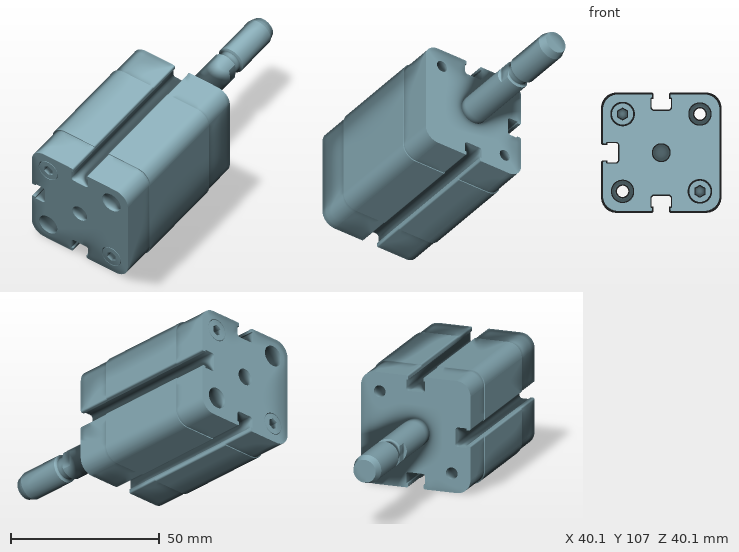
import cadquery as cq
import math


tube_width = 40.1
cap_width = 39.5
corner_radius = 5.0
body_length = 59.5
cap_length = 12.6
tube_length = body_length - 2 * cap_length

slot_mouth_width = 5.6
slot_inner_width = 6.8
slot_ledge_height = 18.3
slot_floor_height = 14.3
slot_mouth_round = 0.5
slot_floor_round = 1.0
slot_angles = (0, 90, 180)

bolt_offset = 26.0 / 2
through_diameter = 4.2
counterbore_diameter = 7.5
counterbore_depth = 6.0
center_hole_diameter = 6.0
center_hole_depth = 6.0
screw_hole_diameter = 7.9
screw_head_diameter = 7.5
screw_head_height = 4.0
hex_across_flats = 3.4
hex_depth = 3.0

rod_tip = 107.0
rod_diameter = 10.0
tip_diameter = 8.0
tip_taper_length = 2.8
thread_length = 19.5
thread_end_taper = 0.5
neck_diameter = 8.0
neck_length = 2.5
shaft_end_taper = 0.3
flat_width = 8.0
flat_length = 3.7
flat_runout = 0.7


def along_y(outline, start, length):
    """Extrude an outline drawn in the XZ plane from Y = start towards +Y."""
    return outline.extrude(-length).translate((0, start, 0))


def slot_cutter(width, start, length):
    """Top T-slot for a body section of the given width, with a rounded mouth and floor."""
    face = width / 2
    mouth = slot_mouth_width / 2
    inner = slot_inner_width / 2
    bend = 1 - math.sqrt(0.5)
    floor_bend = bend * slot_floor_round
    mouth_bend = bend * slot_mouth_round
    clearance = 1.1
    outline = (
        cq.Workplane("XZ")
        .moveTo(0, slot_floor_height)
        .lineTo(inner - slot_floor_round, slot_floor_height)
        .threePointArc(
            (inner - floor_bend, slot_floor_height + floor_bend),
            (inner, slot_floor_height + slot_floor_round),
        )
        .lineTo(inner, slot_ledge_height)
        .lineTo(mouth, slot_ledge_height)
        .lineTo(mouth, face - slot_mouth_round)
        .threePointArc((mouth + mouth_bend, face - mouth_bend), (mouth + slot_mouth_round, face))
        .lineTo(mouth + slot_mouth_round, face + clearance)
        .lineTo(0, face + clearance)
        .mirrorY()
    )
    return along_y(outline, start, length)


def body_section(width, start, length):
    """Square length of body with round corners and slots at the top, the -X side and the bottom."""
    section = along_y(cq.Workplane("XZ").rect(width, width), start, length)
    section = section.edges("|Y").fillet(corner_radius)
    cutter = slot_cutter(width, start, length)
    for angle in slot_angles:
        section = section.cut(cutter.rotate((0, 0, 0), (0, 1, 0), -angle))
    return section


def front_cylinder(points, diameter, depth):
    """Cylinders from the front face into the body."""
    return along_y(cq.Workplane("XZ").pushPoints(points).circle(diameter / 2), 0, depth)


def screw_recess(points):
    """Ring gaps around the screw heads together with their hexagon sockets."""
    hex_diameter = hex_across_flats / math.cos(math.pi / 6)
    gap = front_cylinder(points, screw_hole_diameter, screw_head_height)
    gap = gap.cut(front_cylinder(points, screw_head_diameter, screw_head_height))
    for x, z in points:
        socket = along_y(cq.Workplane("XZ").polygon(6, hex_diameter), 0, hex_depth)
        gap = gap.union(socket.rotate((0, 0, 0), (0, 1, 0), 90).translate((x, 0, z)))
    return gap


def piston_rod():
    """Turned rod with a tapered thread end, a neck and two wrench flats."""
    radius = rod_diameter / 2
    thread_end = rod_tip - thread_length
    shaft_end = thread_end - neck_length
    rod = (
        cq.Workplane("XY")
        .moveTo(0, body_length)
        .lineTo(radius, body_length)
        .lineTo(radius, shaft_end - shaft_end_taper)
        .lineTo(neck_diameter / 2, shaft_end)
        .lineTo(neck_diameter / 2, thread_end)
        .lineTo(radius, thread_end + thread_end_taper)
        .lineTo(radius, rod_tip - tip_taper_length)
        .lineTo(tip_diameter / 2, rod_tip)
        .lineTo(0, rod_tip)
        .close()
        .revolve(360, (0, 0, 0), (0, 1, 0))
    )
    flat = flat_width / 2
    flat_start = shaft_end - flat_length
    cutter = (
        cq.Workplane("XY")
        .moveTo(flat, shaft_end)
        .lineTo(flat, flat_start)
        .lineTo(radius, flat_start - flat_runout)
        .lineTo(radius, shaft_end)
        .close()
        .extrude(radius, both=True)
    )
    return rod.cut(cutter).cut(cutter.mirror("YZ"))


body = body_section(cap_width, 0, cap_length)
body = body.union(body_section(tube_width, cap_length, tube_length))
body = body.union(body_section(cap_width, body_length - cap_length, cap_length))

open_points = [(bolt_offset, bolt_offset), (-bolt_offset, -bolt_offset)]
screw_points = [(-bolt_offset, bolt_offset), (bolt_offset, -bolt_offset)]
body = body.cut(front_cylinder(open_points, through_diameter, body_length))
body = body.cut(front_cylinder(open_points, counterbore_diameter, counterbore_depth))
body = body.cut(front_cylinder([(0, 0)], center_hole_diameter, center_hole_depth))
body = body.cut(screw_recess(screw_points))

result = body.union(piston_rod())